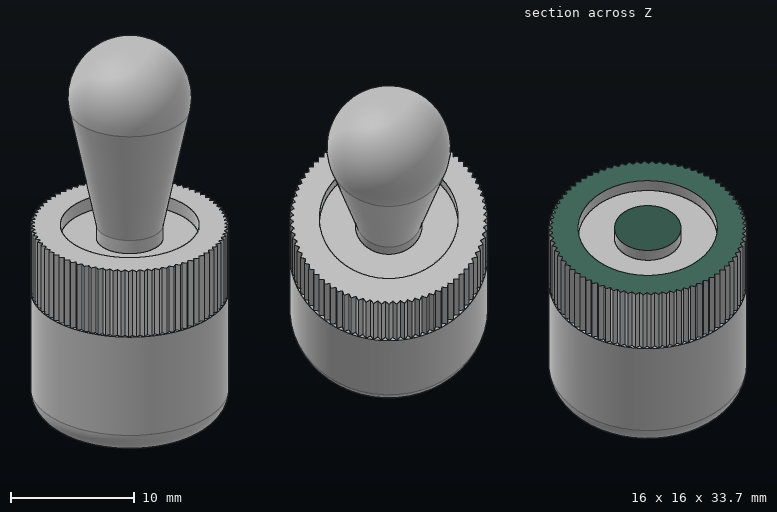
import cadquery as cq
import math

HOUSING_RADIUS = 8.0
HOUSING_HEIGHT = 17.0
BOTTOM_FILLET = 2.0
RECESS_RADIUS = 5.6
RECESS_DEPTH = 1.2
RECESS_FLOOR = HOUSING_HEIGHT - RECESS_DEPTH

KNURL_HEIGHT = 6.0
KNURL_BASE = HOUSING_HEIGHT - KNURL_HEIGHT
TOOTH_COUNT = 80
TOOTH_ANGLE = 2 * math.pi / TOOTH_COUNT
TOOTH_DEPTH = 0.3
VALLEY_RADIUS = HOUSING_RADIUS - TOOTH_DEPTH

TOTAL_HEIGHT = 33.7
BALL_RADIUS = 5.0
BALL_CENTER = TOTAL_HEIGHT - BALL_RADIUS
NECK_RADIUS = 2.7
NECK_TOP = HOUSING_HEIGHT


def polar_point(radius, angle):
    return (radius * math.cos(angle), radius * math.sin(angle))


def make_knurled_band():
    """Toothed ring blank; a valley lies on each of the X and Y axes."""
    outline = []
    for tooth in range(TOOTH_COUNT):
        valley_angle = tooth * TOOTH_ANGLE
        outline.append(polar_point(VALLEY_RADIUS, valley_angle))
        outline.append(polar_point(HOUSING_RADIUS, valley_angle + TOOTH_ANGLE / 2))
    return cq.Workplane("XY").workplane(offset=KNURL_BASE).polyline(outline).close().extrude(KNURL_HEIGHT)


def make_housing():
    """Round cup with a filleted bottom, a knurled top band and a shallow top recess."""
    barrel = cq.Workplane("XY").circle(HOUSING_RADIUS).extrude(KNURL_BASE)
    barrel = barrel.faces("<Z").edges().fillet(BOTTOM_FILLET)
    recess = cq.Workplane("XY").workplane(offset=RECESS_FLOOR).circle(RECESS_RADIUS).extrude(RECESS_DEPTH)
    return barrel.union(make_knurled_band()).cut(recess)


def make_lever():
    """Revolved lever standing on the recess floor, its cone tangent to the ball."""
    rise = BALL_CENTER - NECK_TOP
    corner_distance = math.hypot(NECK_RADIUS, rise)
    corner_elevation = -math.atan2(rise, NECK_RADIUS)
    tangent_elevation = corner_elevation + math.acos(BALL_RADIUS / corner_distance)
    tangent_radius, tangent_drop = polar_point(BALL_RADIUS, tangent_elevation)
    profile = (
        cq.Workplane("XZ")
        .moveTo(0, RECESS_FLOOR)
        .lineTo(NECK_RADIUS, RECESS_FLOOR)
        .lineTo(NECK_RADIUS, NECK_TOP)
        .lineTo(tangent_radius, BALL_CENTER + tangent_drop)
        .threePointArc((BALL_RADIUS, BALL_CENTER), (0, TOTAL_HEIGHT))
        .close()
    )
    return profile.revolve(360, (0, 0), (0, 1))


housing = make_housing()
lever = make_lever()
result = cq.Compound.makeCompound([housing.solids().val(), lever.val()])